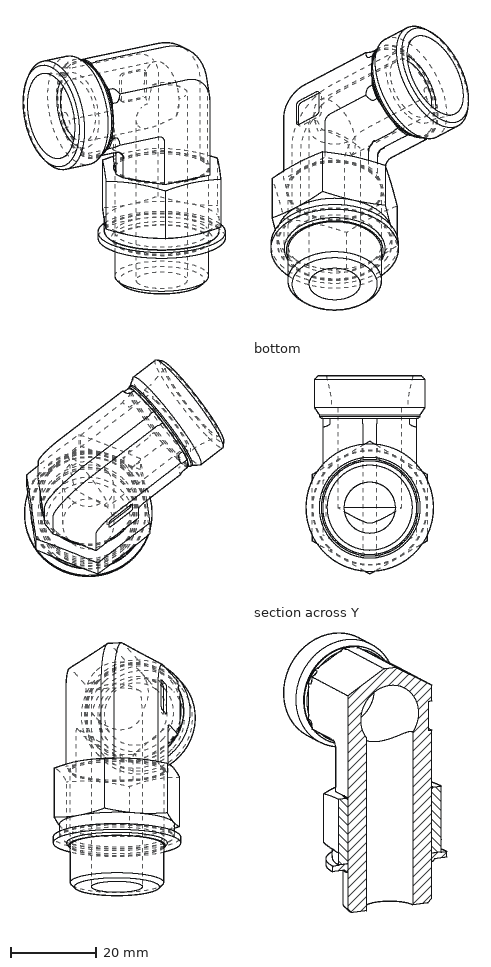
import cadquery as cq
import math


arm_width = 22.0
apex_flat_width = 3.1
inner_corner_radius = 2.0

stud_diameter = 22.0
stud_chamfer = 1.0
stud_bore_diameter = 12.0

outlet_diameter = 26.0
outlet_length = 31.0
outlet_rim_chamfer = 0.9
outlet_head_start = 23.5
collar_diameter = 23.7
collar_back_diameter = 22.7
collar_start = 20.95
collar_front = 21.8
mouth_diameter = 20.35
mouth_half_angle = 12.0
seat_diameter = 18.0
seat_depth = 7.5
outlet_bore_diameter = 15.0
drill_point_angle = 118.0

relief_length = 1.0
relief_fillet = 1.0

recess_side = 7.0
recess_corner_radius = 1.0
recess_depth = 0.8
recess_center_y = -1.1
recess_center_z = 45.4

nut_width = 27.0
nut_top = 28.0
nut_hex_bottom = 15.0
nut_corner_drop = 0.6
nut_bore_mouth_diameter = 22.7
nut_collar_chamfer = 0.2

washer_diameter = 30.0
washer_top = 11.95
washer_bottom = 10.55
lip_bottom = 9.95
lip_top_diameter = 23.7
lip_bottom_diameter = 22.7

overall_height = 59.5
axis_height = overall_height - outlet_diameter / 2
hexagon_corner_ratio = 2 / math.sqrt(3)
arm_corner_radius = arm_width / 2 * hexagon_corner_ratio
arm_side_height = arm_corner_radius / 2
apex_height = arm_corner_radius - apex_flat_width / 2 * math.tan(math.radians(30))
nut_corner_radius = nut_width / 2 * hexagon_corner_ratio
collar_back_end = collar_start + (collar_diameter - collar_back_diameter) / 2
margin = 0.05
arm_half_section = [
    (-arm_width / 2, arm_side_height),
    (-apex_flat_width / 2, apex_height),
    (apex_flat_width / 2, apex_height),
    (arm_width / 2, arm_side_height),
]


def revolve_about_z(profile):
    """Solid of revolution about Z from (radius, height) points."""
    return cq.Workplane("YZ").polyline(profile).close().revolve(360, (0, 0), (0, 1))


def along_outlet(shape):
    """Move a shape built along +Z from the origin onto the outlet axis, from the elbow centre."""
    return shape.rotate((0, 0, 0), (1, 0, 0), 90).translate((0, 0, axis_height))


def arm_bar(start, end):
    """Bar with the full arm section, along Z."""
    section = arm_half_section + [(-x, -y) for x, y in arm_half_section]
    return cq.Workplane("XY", origin=(0, 0, start)).polyline(section).close().extrude(end - start)


def outer_bend():
    """Outer corner of the elbow: half the arm section turned a quarter about the X direction."""
    section = [(-arm_width / 2, 0), *arm_half_section, (arm_width / 2, 0)]
    bend = cq.Workplane("XY").polyline(section).close().revolve(90, (0, 0), (1, 0))
    return bend.translate((0, 0, axis_height))


def relief_ring():
    """Ring that turns the arm corners down to the collar diameter, ending in a concave fillet."""
    inner_radius = collar_diameter / 2
    outer_radius = inner_radius + relief_fillet
    fillet_start = collar_start - relief_length
    fillet_bulge = relief_fillet * (1 - math.sqrt(0.5))
    ring = (
        cq.Workplane("XZ")
        .moveTo(inner_radius, collar_start)
        .lineTo(inner_radius, fillet_start)
        .threePointArc(
            (inner_radius + fillet_bulge, fillet_start - relief_fillet + fillet_bulge),
            (outer_radius, fillet_start - relief_fillet),
        )
        .lineTo(outer_radius, collar_start)
        .close()
        .revolve(360, (0, 0), (0, 1))
    )
    return along_outlet(ring)


def elbow_arms():
    """The two hexagonal arms with their rounded outer and inner corners and the turned relief."""
    arms = arm_bar(nut_top, axis_height).union(along_outlet(arm_bar(0, collar_start)))
    inner_edges = cq.selectors.BoxSelector(
        (-arm_width / 2, -apex_height - margin, axis_height - apex_height - margin),
        (arm_width / 2, -arm_side_height - margin, axis_height - arm_side_height - margin),
    )
    arms = arms.edges(inner_edges).fillet(inner_corner_radius)
    return arms.union(outer_bend()).cut(relief_ring())


def outlet_end():
    """Collar, flare and round head at the end of the outlet arm."""
    collar_radius = collar_diameter / 2
    head_radius = outlet_diameter / 2
    head = revolve_about_z([
        (0, collar_start),
        (collar_back_diameter / 2, collar_start),
        (collar_radius, collar_back_end),
        (collar_radius, collar_front),
        (head_radius, outlet_head_start),
        (head_radius, outlet_length - outlet_rim_chamfer),
        (head_radius - outlet_rim_chamfer, outlet_length),
        (0, outlet_length),
    ])
    return along_outlet(head)


def stud():
    """Round stud up to the top of the nut, with a chamfered free end."""
    radius = stud_diameter / 2
    return revolve_about_z([
        (0, 0),
        (radius - stud_chamfer, 0),
        (radius, stud_chamfer),
        (radius, nut_top),
        (0, nut_top),
    ])


def drill_point_length(diameter):
    """Height of the cone that a drill leaves at the end of a blind hole."""
    return diameter / 2 / math.tan(math.radians(drill_point_angle / 2))


def stud_bore():
    """Drilled hole from the stud end up to the elbow centre, with a conical point."""
    radius = stud_bore_diameter / 2
    tip = axis_height + drill_point_length(stud_bore_diameter)
    return revolve_about_z([(0, 0), (radius, 0), (radius, axis_height), (0, tip)])


def outlet_bore():
    """Flared mouth, tube seat and drilled hole that ends in a conical point past the elbow centre."""
    mouth_radius = mouth_diameter / 2
    seat_radius = seat_diameter / 2
    bore_radius = outlet_bore_diameter / 2
    flare_depth = (mouth_radius - seat_radius) / math.tan(math.radians(mouth_half_angle))
    bore = revolve_about_z([
        (0, outlet_length),
        (mouth_radius, outlet_length),
        (seat_radius, outlet_length - flare_depth),
        (seat_radius, outlet_length - seat_depth),
        (bore_radius, outlet_length - seat_depth),
        (bore_radius, 0),
        (0, -drill_point_length(outlet_bore_diameter)),
    ])
    return along_outlet(bore)


def side_recess():
    """Shallow square recess with rounded corners in the -X flat."""
    floor_x = recess_depth - arm_width / 2
    return (
        cq.Workplane("YZ", origin=(floor_x, recess_center_y, recess_center_z))
        .rect(recess_side, recess_side)
        .extrude(-recess_depth)
        .edges("|X")
        .fillet(recess_corner_radius)
    )


def make_elbow():
    """Elbow with its outlet end and stud in one piece, bored through."""
    body = elbow_arms().union(outlet_end()).union(stud())
    return body.cut(stud_bore()).cut(outlet_bore()).cut(side_recess())


def make_nut():
    """Hexagon nut with a round collar below, corners along Y, both hexagon ends chamfered."""
    hexagon = (
        cq.Workplane("XY", origin=(0, 0, nut_hex_bottom))
        .polygon(6, 2 * nut_corner_radius)
        .extrude(nut_top - nut_hex_bottom)
        .rotate((0, 0, 0), (0, 0, 1), 90)
    )
    flat_radius = nut_width / 2
    envelope = revolve_about_z([
        (0, washer_top),
        (flat_radius - nut_collar_chamfer, washer_top),
        (flat_radius, washer_top + nut_collar_chamfer),
        (flat_radius, nut_hex_bottom),
        (nut_corner_radius, nut_hex_bottom + nut_corner_drop),
        (nut_corner_radius, nut_top - nut_corner_drop),
        (flat_radius, nut_top),
        (0, nut_top),
    ])
    collar_height = nut_hex_bottom - washer_top
    collar = cq.Workplane("XY", origin=(0, 0, washer_top)).circle(flat_radius).extrude(collar_height)
    bore_radius = stud_diameter / 2
    mouth_radius = nut_bore_mouth_diameter / 2
    bore = revolve_about_z([
        (0, washer_top),
        (bore_radius, washer_top),
        (bore_radius, nut_top - (mouth_radius - bore_radius)),
        (mouth_radius, nut_top),
        (0, nut_top),
    ])
    return hexagon.union(collar).intersect(envelope).cut(bore)


def make_washer():
    """Flat ring with a tapered lip below, fitting the stud."""
    return revolve_about_z([
        (stud_diameter / 2, washer_top),
        (washer_diameter / 2, washer_top),
        (washer_diameter / 2, washer_bottom),
        (lip_top_diameter / 2, washer_bottom),
        (lip_bottom_diameter / 2, lip_bottom),
        (stud_diameter / 2, lip_bottom),
    ])


elbow = make_elbow()
nut = make_nut()
washer = make_washer()
result = cq.Compound.makeCompound([elbow.val(), nut.val(), washer.val()])